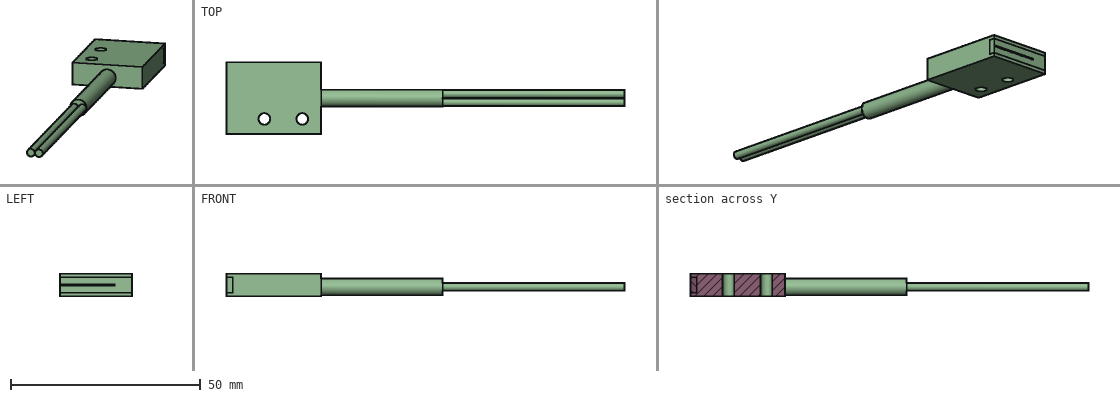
import cadquery as cq

housing_length = 25.0
housing_width = 19.0
housing_height = 6.0
half_width = housing_width / 2

hole_diameter = 3.0
hole_spacing = 10.0
hole_edge_distance = 4.0
first_hole_x = 10.0
hole_count = 2

insert_depth = 1.6
insert_height = 4.0

slit_length = 14.0
slit_height = 0.3
slit_depth = 0.5
slit_end_distance = 0.5

cable_z = -0.5
jacket_diameter = 4.5
jacket_length = 32.0
wire_diameter = 2.1
wire_length = 48.0
wire_spacing = 2.2


def box(length, width, height):
    """Box that starts at X = 0 and is centred on Y and Z."""
    return cq.Workplane("XY").box(length, width, height, centered=(False, True, True))


def rod(diameter, start_x, end_x, y):
    """Round rod along X at the height of the cable."""
    return (
        cq.Workplane("YZ", origin=(start_x, y, cable_z))
        .circle(diameter / 2)
        .extrude(end_x - start_x)
    )


def make_cable():
    jacket_end = housing_length + jacket_length
    cable = rod(jacket_diameter, housing_length, jacket_end, 0)
    for side in (-1, 1):
        wire = rod(wire_diameter, jacket_end, jacket_end + wire_length, side * wire_spacing / 2)
        cable = cable.union(wire)
    return cable


def make_housing():
    block = box(housing_length, housing_width, housing_height)
    hole_y = hole_edge_distance - half_width
    holes = [(first_hole_x + i * hole_spacing, hole_y) for i in range(hole_count)]
    block = block.cut(
        cq.Workplane("XY", origin=(0, 0, -housing_height / 2))
        .pushPoints(holes)
        .circle(hole_diameter / 2)
        .extrude(housing_height)
    )
    block = block.cut(box(insert_depth, housing_width, insert_height))
    return block.union(make_cable())


def make_insert():
    slit_y = half_width - slit_end_distance - slit_length / 2
    slit = box(slit_depth, slit_length, slit_height).translate((0, slit_y, 0))
    return box(insert_depth, housing_width, insert_height).cut(slit)


housing = make_housing()
insert = make_insert()

result = cq.Compound.makeCompound([housing.val(), insert.val()])